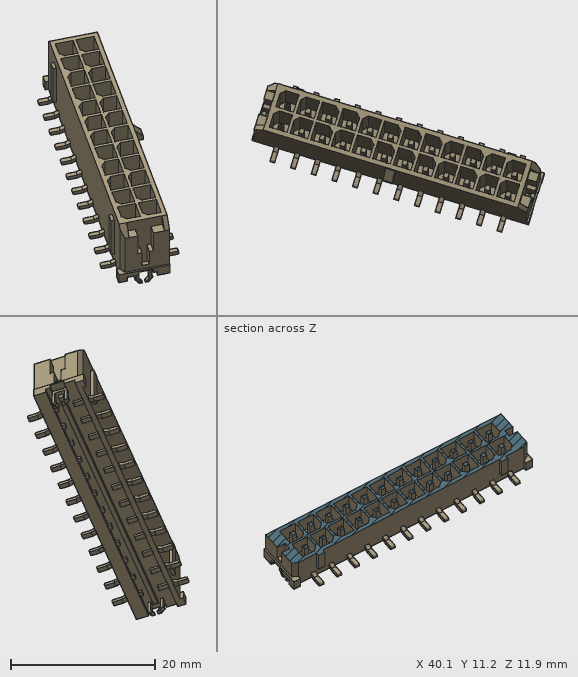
import cadquery as cq

foot_length = 40.15
body_length = 39.63
body_width = 6.9
body_height = 9.9
body_back = body_width / 2
body_front = -body_width / 2

columns = 12
column_span = 33.0
pitch = column_span / (columns - 1)
row_y = pitch / 2
cavity_size = 2.55
cavity_chamfer = 0.65
cavity_floor = 2.0
back_row_keys = "RRLRLLLLRLRR"
front_row_keys = "RRLRLLLRLLRR"

end_chamfer_x = 1.32
end_wall = body_length / 2 - end_chamfer_x
ledge_height = 8.25
corner_chamfer_x = 0.85
corner_chamfer_y = 0.5
end_pocket_back = 2.75
end_pocket_front = -2.35
slot_width = 2.25
slot_floor = 4.75
narrow_slot_width = 1.1
narrow_slot_floor = 2.3
clip_hole_outer = 19.25

foot_height = 1.55
foot_inner = 18.95
front_reach = -3.95
channel_back = 1.65
channel_front = -2.7
channel_height = 0.72
channel_rib_width = 0.65

rib_spacing = 30.75
rib_width = 1.12
rib_bottom = foot_height

latch_width = 1.35
latch_reach = 4.85
latch_top = 9.25
latch_nose_top = 7.75
latch_bottom = 7.03
latch_fillet = 0.7

pin_size = 0.7
pin_top = 7.23
pin_tip_size = 0.2
pin_tip_height = 0.4
lead_span = 11.2
lead_reach = lead_span / 2
lead_thickness = 0.6
lead_tip_radius = lead_thickness / 2
lead_bend_y = 4.15
lead_rise = 0.3

clip_outer = 19.0
clip_inner = 18.43
clip_plate_width = 2.1
clip_plate_top = 1.32
arm_outer = 1.12
arm_inner = 0.72
barb_reach = 1.3
barb_height = -1.25
arm_bend_height = -1.4
tip_outer = 0.7
tip_inner = 0.2
tip_height = -2.05


def box(x_range, y_range, z_range):
    """Axis-aligned block spanning the given (low, high) ranges."""
    lows, highs = zip(x_range, y_range, z_range)
    sizes = [high - low for low, high in zip(lows, highs)]
    return cq.Workplane("XY").box(*sizes, centered=False).translate(lows)


def both_ends(shape):
    """The shape together with its mirror image at the opposite X end."""
    return shape.union(shape.mirror("YZ"))


def make_body():
    half = body_length / 2
    side_outline = [
        (-half, 0),
        (half, 0),
        (half, ledge_height),
        (end_wall, body_height),
        (-end_wall, body_height),
        (-half, ledge_height),
    ]
    body = cq.Workplane("XZ", origin=(0, body_back, 0)).polyline(side_outline).close().extrude(body_width)
    corner = (
        cq.Workplane("XY")
        .moveTo(-half, body_front)
        .lineTo(-half + corner_chamfer_x, body_front)
        .lineTo(-half, body_front + corner_chamfer_y)
        .close()
        .extrude(body_height)
    )
    return body.cut(both_ends(corner))


def make_end_recess():
    """Open pocket above the ledge and the stepped slot below it, at the -X end."""
    depth = (-foot_length / 2, -end_wall)
    half_slot = slot_width / 2
    half_narrow = narrow_slot_width / 2
    recess = box(depth, (end_pocket_front, end_pocket_back), (ledge_height, body_height))
    recess = recess.union(box(depth, (-half_slot, half_slot), (slot_floor, ledge_height)))
    recess = recess.union(box(depth, (-half_narrow, half_narrow), (narrow_slot_floor, slot_floor)))
    clip_hole = box(
        (-clip_hole_outer, -end_wall), (-half_narrow, half_narrow), (clip_plate_top, narrow_slot_floor)
    )
    return recess.union(clip_hole)


def make_foot():
    return box((-foot_length / 2, -foot_inner), (front_reach, body_back), (0, foot_height))


def make_clip_window():
    """Opening through the foot in front of the clip plate."""
    half = clip_plate_width / 2
    return box((-foot_length / 2, -clip_outer), (-half, half), (channel_height, clip_plate_top))


def make_channel():
    half = foot_length / 2
    return box((-half, half), (channel_front, channel_back), (0, channel_height))


def make_channel_rib():
    half = channel_rib_width / 2
    return box((-end_wall, end_wall), (-half, half), (0, channel_height))


def make_cavity(key_side):
    """Square contact cavity with one front corner cut off on the keyed side."""
    x_sign = 1 if key_side == "R" else -1
    half = cavity_size / 2
    return (
        cq.Workplane("XY", origin=(0, 0, cavity_floor))
        .moveTo(-x_sign * half, -half)
        .lineTo(x_sign * (half - cavity_chamfer), -half)
        .lineTo(x_sign * half, -half + cavity_chamfer)
        .lineTo(x_sign * half, half)
        .lineTo(-x_sign * half, half)
        .close()
        .extrude(body_height - cavity_floor)
    )


def make_contact(y_sign, tapered):
    """Pin with its solder lead; built for the back row and mirrored for the front row."""
    half = pin_size / 2
    tip_start = lead_reach - lead_tip_radius
    lead = (
        cq.Workplane("YZ", origin=(-half, 0, 0))
        .moveTo(row_y - half, lead_rise)
        .lineTo(body_back, lead_rise)
        .lineTo(lead_bend_y, 0)
        .lineTo(tip_start, 0)
        .threePointArc((lead_reach, lead_tip_radius), (tip_start, lead_thickness))
        .lineTo(lead_bend_y, lead_thickness)
        .lineTo(body_back, lead_thickness + lead_rise)
        .lineTo(row_y - half, lead_thickness + lead_rise)
        .close()
        .extrude(pin_size)
    )
    shank_top = pin_top - pin_tip_height if tapered else pin_top
    shank = box((-half, half), (row_y - half, row_y + half), (lead_rise, shank_top))
    contact = lead.union(shank)
    if tapered:
        tip = (
            cq.Workplane("XY", origin=(0, row_y, shank_top))
            .rect(pin_size, pin_size)
            .workplane(offset=pin_tip_height)
            .rect(pin_tip_size, pin_tip_size)
            .loft(ruled=True)
        )
        contact = contact.union(tip)
    return contact if y_sign > 0 else contact.mirror("XZ")


def make_front_rib():
    centre = -rib_spacing / 2
    x_range = (centre - rib_width / 2, centre + rib_width / 2)
    return box(x_range, (front_reach, body_front), (rib_bottom, ledge_height))


def make_latch():
    return (
        cq.Workplane("YZ", origin=(-latch_width / 2, 0, 0))
        .moveTo(body_back, latch_top)
        .lineTo(latch_reach, latch_nose_top)
        .lineTo(latch_reach, latch_bottom)
        .lineTo(body_back + latch_fillet, latch_bottom)
        .radiusArc((body_back, latch_bottom - latch_fillet), -latch_fillet)
        .close()
        .extrude(latch_width)
    )


def make_clip():
    """Sheet-metal clip at the -X end: embedded plate with two barbed arms."""
    half = clip_plate_width / 2
    clip = box((-clip_outer, -clip_inner), (-half, half), (channel_height, clip_plate_top))
    arm_outline = [
        (arm_inner, clip_plate_top),
        (half, clip_plate_top),
        (half, channel_height),
        (arm_outer, channel_height),
        (arm_outer, barb_height),
        (barb_reach, barb_height),
        (arm_outer, arm_bend_height),
        (tip_outer, tip_height),
        (tip_inner, tip_height),
        (arm_inner, arm_bend_height),
    ]
    thickness = clip_outer - clip_inner
    arm = cq.Workplane("YZ", origin=(-clip_outer, 0, 0)).polyline(arm_outline).close().extrude(thickness)
    return clip.union(arm).union(arm.mirror("XZ"))


housing = make_body().cut(both_ends(make_end_recess()))
housing = housing.union(both_ends(make_foot()))
housing = housing.cut(both_ends(make_clip_window())).cut(make_channel())
housing = housing.union(make_channel_rib()).union(both_ends(make_front_rib())).union(make_latch())

for y_sign, keys in ((1, back_row_keys), (-1, front_row_keys)):
    for column, key_side in enumerate(keys):
        column_x = column * pitch - column_span / 2
        housing = housing.cut(make_cavity(key_side).translate((column_x, y_sign * row_y, 0)))
        contact = make_contact(y_sign, tapered=column == columns - 1)
        housing = housing.union(contact.translate((column_x, 0, 0)))

result = housing.union(both_ends(make_clip()))